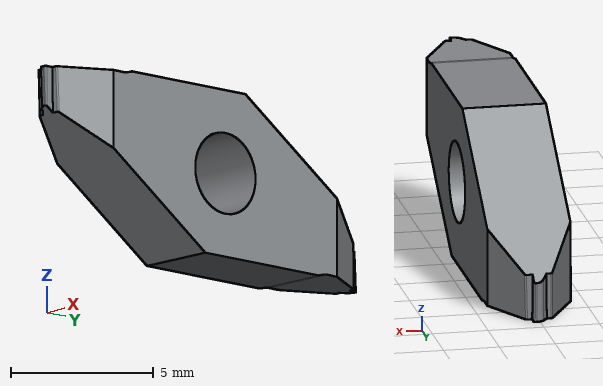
import cadquery as cq
import math

WIDTH = 3.0
LENGTH = 14.99
HEIGHT = 6.0
HOLE_DIAMETER = 2.91

CLEARANCE_SLOPE = math.tan(math.radians(35))
EDGE_DROP = 0.05
FLAT_END = 4.5
DIP_END = 4.92
DIP_DEPTH = 0.09
DIP_SAG = 0.01
TIP_HEIGHT = 1.38

FLANK_SLOPE = math.tan(math.radians(60))
SHOULDER_HALF_WIDTH = 0.46
TOOTH_HEIGHT = 0.31
TOOTH_FOOT_X = -0.27
TOOTH_SLOPE = math.tan(math.radians(52))
TOOTH_SIDE_X = 0.25
TOOTH_TIP_RADIUS = 0.33
TOOTH_CORNER_RADIUS = 0.05
SHOULDER_RADIUS = 0.07
END_RELIEF = math.tan(math.radians(1.9))
SIDE_RELIEF = math.tan(math.radians(1))
END_BOTTOM = -0.3
CORE_HALF_LENGTH = 4.95

HALF_WIDTH = WIDTH / 2
HALF_LENGTH = LENGTH / 2
HALF_HEIGHT = HEIGHT / 2
EDGE_Z = HALF_HEIGHT - EDGE_DROP


def make_side_body():
    """Point-symmetric side profile, extruded across the width."""
    tip_z = EDGE_Z - TIP_HEIGHT
    slope_end = HALF_LENGTH - (tip_z + HALF_HEIGHT) / CLEARANCE_SLOPE
    dip_middle = (FLAT_END + DIP_END) / 2
    dip_middle_z = HALF_HEIGHT - DIP_DEPTH / 2 - DIP_SAG
    dip_z = HALF_HEIGHT - DIP_DEPTH

    profile = cq.Workplane("YZ").moveTo(slope_end, HALF_HEIGHT)
    for sign in (1, -1):
        profile = (
            profile.lineTo(-sign * FLAT_END, sign * HALF_HEIGHT)
            .threePointArc((-sign * dip_middle, sign * dip_middle_z), (-sign * DIP_END, sign * dip_z))
            .lineTo(-sign * HALF_LENGTH, sign * EDGE_Z)
            .lineTo(-sign * HALF_LENGTH, sign * tip_z)
            .lineTo(-sign * slope_end, -sign * HALF_HEIGHT)
        )
    return profile.close().extrude(HALF_WIDTH, both=True)


def end_outline(z):
    """Outline of a cutting end at height z; it recedes below the cutting edge."""
    depth = EDGE_Z - z
    relief = depth * END_RELIEF
    tip_y = -HALF_LENGTH + relief
    shoulder_y = tip_y + TOOTH_HEIGHT
    side_x = TOOTH_SIDE_X - depth * SIDE_RELIEF
    flank_y = TOOTH_HEIGHT - HALF_LENGTH + (HALF_WIDTH - SHOULDER_HALF_WIDTH) * FLANK_SLOPE

    left_shoulder = (-SHOULDER_HALF_WIDTH, shoulder_y)
    right_shoulder = (SHOULDER_HALF_WIDTH + relief / FLANK_SLOPE, shoulder_y)
    tooth_tip = (TOOTH_FOOT_X + TOOTH_HEIGHT / TOOTH_SLOPE, tip_y)
    tooth_corner = (side_x, tip_y)
    points = [
        (-HALF_WIDTH, 0),
        (-HALF_WIDTH, flank_y + relief),
        left_shoulder,
        (TOOTH_FOOT_X, shoulder_y),
        tooth_tip,
        tooth_corner,
        (side_x, shoulder_y),
        right_shoulder,
        (HALF_WIDTH, flank_y),
        (HALF_WIDTH, 0),
    ]
    wire = cq.Wire.makePolygon([cq.Vector(x, y, z) for x, y in points], close=True)
    rounded_corners = [
        (left_shoulder, SHOULDER_RADIUS),
        (right_shoulder, SHOULDER_RADIUS),
        (tooth_tip, TOOTH_TIP_RADIUS),
        (tooth_corner, TOOTH_CORNER_RADIUS),
    ]
    for (x, y), radius in rounded_corners:
        corner = cq.Vector(x, y, z)
        vertex = min(wire.Vertices(), key=lambda v: (v.Center() - corner).Length)
        wire = wire.fillet2D(radius, [vertex])
    return wire


def make_plan_body():
    """Full-width core with a profiled cutting end on each side."""
    core = cq.Workplane("XY").box(WIDTH, 2 * CORE_HALF_LENGTH, HEIGHT)
    outlines = [end_outline(END_BOTTOM), end_outline(EDGE_Z)]
    end = cq.Workplane(cq.Solid.makeLoft(outlines, True))
    opposite_end = end.rotate((0, 0, 0), (1, 0, 0), 180)
    return core.union(end).union(opposite_end)


hole = cq.Workplane("YZ").circle(HOLE_DIAMETER / 2).extrude(HALF_WIDTH, both=True)
result = make_side_body().intersect(make_plan_body()).cut(hole)